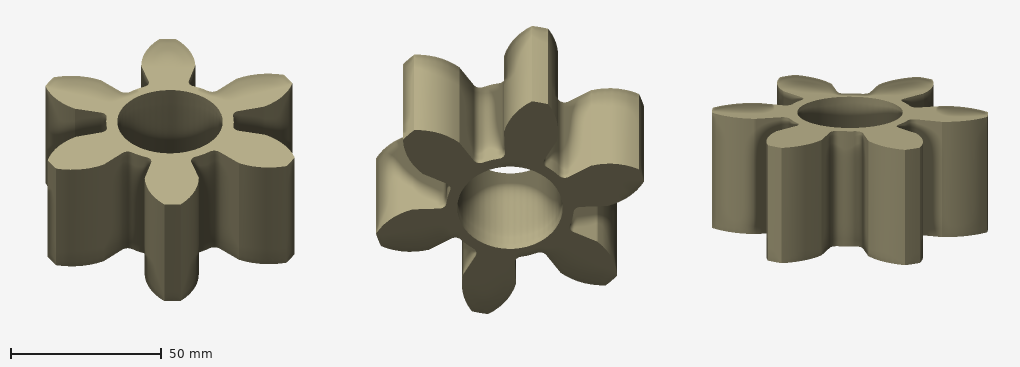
import cadquery as cq
import math

tip_radius = 45.8
hub_radius = 21.2
bore_radius = 17.5
height = 40.0
tooth_count = 6

tip_half_width = 2.75
shoulder_x = 31.0
shoulder_half_width = 9.0
root_flank_angle = 15.0
flank_radius = 21.1
root_fillet_radius = 2.5

root_x = (bore_radius + hub_radius) / 2
root_half_width = shoulder_half_width - (shoulder_x - root_x) * math.tan(math.radians(root_flank_angle))
tip_corner_x = math.sqrt(tip_radius**2 - tip_half_width**2)

chord_x = tip_corner_x - shoulder_x
chord_y = tip_half_width - shoulder_half_width
chord = math.hypot(chord_x, chord_y)
arc_height = flank_radius - math.sqrt(flank_radius**2 - (chord / 2) ** 2)
flank_mid_x = (shoulder_x + tip_corner_x) / 2 - arc_height * chord_y / chord
flank_mid_y = (shoulder_half_width + tip_half_width) / 2 + arc_height * chord_x / chord


def make_tooth(angle):
    """One full-height tooth, turned about Z by the given angle in degrees."""
    tooth = (
        cq.Workplane("XY")
        .moveTo(root_x, -root_half_width)
        .lineTo(shoulder_x, -shoulder_half_width)
        .threePointArc((flank_mid_x, -flank_mid_y), (tip_corner_x, -tip_half_width))
        .threePointArc((tip_radius, 0), (tip_corner_x, tip_half_width))
        .threePointArc((flank_mid_x, flank_mid_y), (shoulder_x, shoulder_half_width))
        .lineTo(root_x, root_half_width)
        .lineTo(0, 0)
        .close()
        .extrude(height)
    )
    return tooth.rotate((0, 0, 0), (0, 0, 1), angle)


body = cq.Workplane("XY").circle(hub_radius).extrude(height)
for index in range(tooth_count):
    body = body.union(make_tooth(index * 360 / tooth_count))

root_limit = (hub_radius + shoulder_x) / 2
root_zone = cq.selectors.BoxSelector(
    (-root_limit, -root_limit, 0), (root_limit, root_limit, height)
)
body = body.edges("|Z").edges(root_zone).fillet(root_fillet_radius)

bore = cq.Workplane("XY").circle(bore_radius).extrude(height)
result = body.cut(bore)